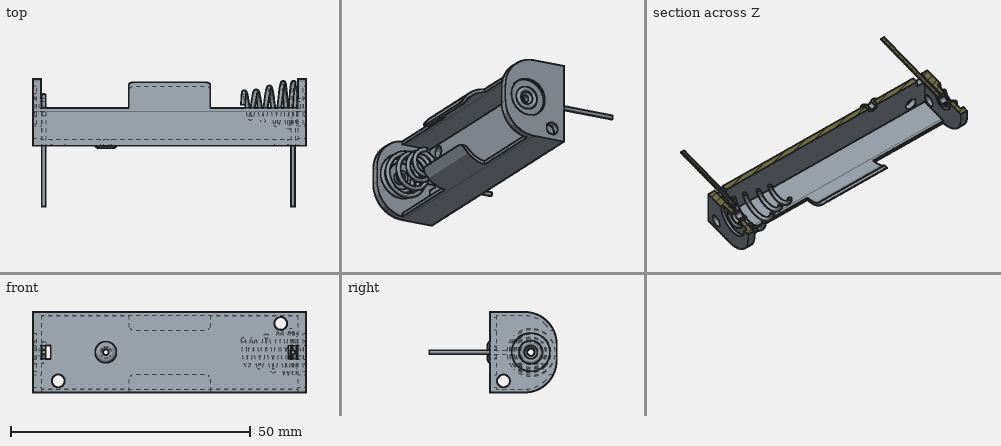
import cadquery as cq
import math

LENGTH = 57.0
WIDTH = 16.9
HEIGHT = 13.95
CORNER_RADIUS = 6.8
SIDE_WALL = 0.75
FLOOR = 1.35
END_WALL = 1.7
RIM_HEIGHT = 7.9
INNER_END = LENGTH / 2 - END_WALL

ARM_LENGTH = 17.1
ARM_OPENING = 9.25
ARM_CORNER = 1.15

SCREW_DIAMETER = 2.6
SCREW_X = 23.2
SCREW_Z = 6.0
END_SCREW_Y = 2.85

SLOT_LENGTH = 2.0
SLOT_WIDTH = 2.75

AXIS_Y = 8.55
RECESS_DIAMETER = 8.0
RECESS_DEPTH = 0.7
END_HEAD_RADIUS = 2.45
END_LIP_RADIUS = 1.35
END_BARREL_RADIUS = 1.35
END_BORE_RADIUS = 0.75
END_BARREL_STANDOUT = 1.0
END_BARREL_LENGTH = END_WALL - RECESS_DEPTH + END_BARREL_STANDOUT
BASE_RIVET_X = -13.3
BASE_HEAD_RADIUS = 2.2
BASE_BARREL_RADIUS = 1.15
BASE_BORE_RADIUS = 0.55
HEAD_HEIGHT = 0.5
LIP_HEIGHT = 0.1
FLARE_DEPTH = 0.55

WIRE_RADIUS = 0.45
LEAD_END_Y = -12.65
LOOP_X = -26.2
LOOP_RADIUS = END_BARREL_RADIUS + WIRE_RADIUS
SPRING_LEAD_X = 25.75
POINTS_PER_TURN = 12
SPRING_STATIONS = [
    (-1.5, 26.3, 2.75),
    (-1.0, 26.3, 3.35),
    (0.0, 25.9, 4.55),
    (1.0, 23.7, 4.55),
    (2.0, 20.8, 3.6),
    (3.0, 18.05, 2.8),
    (4.0, 15.55, 2.6),
    (4.25, 15.35, 2.6),
]


def d_prism(length, width, bottom, top, radius):
    """Prism along X whose section is a rectangle with its two +Y corners rounded."""
    block = cq.Workplane("XY").box(length, top - bottom, width)
    return block.edges("|X and >Y").fillet(radius).translate((0, (top + bottom) / 2, 0))


def cylinder_along(direction, start, radius, length):
    return cq.Workplane(cq.Solid.makeCylinder(radius, length, cq.Vector(*start), cq.Vector(*direction)))


def trimmed_above_rim():
    """Everything between the end walls above the rim, less the two arms."""
    rise = HEIGHT - RIM_HEIGHT
    middle_y = RIM_HEIGHT + rise / 2
    trim = cq.Workplane("XY").box(2 * INNER_END, rise, WIDTH).translate((0, middle_y, 0))
    arm_width = (WIDTH - ARM_OPENING) / 2
    arm = cq.Workplane("XY").box(ARM_LENGTH, rise, arm_width).edges("|Y and <Z").fillet(ARM_CORNER)
    arm = arm.translate((0, middle_y, ARM_OPENING / 2 + arm_width / 2))
    return trim.cut(arm).cut(arm.mirror("XY"))


def make_housing():
    body = d_prism(LENGTH, WIDTH, 0, HEIGHT, CORNER_RADIUS)
    cavity = d_prism(
        2 * INNER_END, WIDTH - 2 * SIDE_WALL, FLOOR, HEIGHT - SIDE_WALL, CORNER_RADIUS - SIDE_WALL
    )
    body = body.cut(cavity).cut(trimmed_above_rim())

    for side in (-1, 1):
        screw_start = (side * SCREW_X, 0, side * SCREW_Z)
        body = body.cut(cylinder_along((0, 1, 0), screw_start, SCREW_DIAMETER / 2, FLOOR))
        slot = cq.Workplane("XY").box(SLOT_LENGTH, 2 * FLOOR, SLOT_WIDTH)
        body = body.cut(slot.translate((side * (INNER_END - SLOT_LENGTH / 2), 0, 0)))
    body = body.cut(cylinder_along((0, 1, 0), (BASE_RIVET_X, 0, 0), BASE_BARREL_RADIUS, FLOOR))

    for side in (-1, 1):
        inward = (-side, 0, 0)
        outer_x = side * LENGTH / 2
        body = body.cut(
            cylinder_along(inward, (outer_x, END_SCREW_Y, -SCREW_Z), SCREW_DIAMETER / 2, END_WALL)
        )
        body = body.cut(cylinder_along(inward, (outer_x, AXIS_Y, 0), END_BARREL_RADIUS, END_WALL))
        body = body.cut(cylinder_along(inward, (outer_x, AXIS_Y, 0), RECESS_DIAMETER / 2, RECESS_DEPTH))
    return body


def make_rivet(head_radius, lip_radius, bore_radius, barrel_radius, barrel_length):
    """Hollow rivet about Y: domed head below Y = 0, barrel rising above it."""
    profile = cq.Workplane("XY").moveTo(barrel_radius, 0).lineTo(head_radius, 0)
    crown_radius = (head_radius + lip_radius) / 2
    profile = profile.threePointArc((crown_radius, -HEAD_HEIGHT), (lip_radius, -LIP_HEIGHT))
    profile = profile.lineTo(bore_radius, FLARE_DEPTH).lineTo(bore_radius, barrel_length)
    profile = profile.lineTo(barrel_radius, barrel_length).close()
    return profile.revolve(360, (0, 0, 0), (0, 1, 0)).clean()


def make_end_rivet(side):
    rivet = make_rivet(
        END_HEAD_RADIUS, END_LIP_RADIUS, END_BORE_RADIUS, END_BARREL_RADIUS, END_BARREL_LENGTH
    )
    rivet = rivet.rotate((0, 0, 0), (0, 0, 1), side * 90)
    return rivet.translate((side * (LENGTH / 2 - RECESS_DEPTH), AXIS_Y, 0))


def make_base_rivet():
    rivet = make_rivet(BASE_HEAD_RADIUS, BASE_BORE_RADIUS, BASE_BORE_RADIUS, BASE_BARREL_RADIUS, FLOOR)
    return rivet.translate((BASE_RIVET_X, 0, 0))


def make_lead(x, top_y):
    return cylinder_along((0, 1, 0), (x, LEAD_END_Y, 0), WIRE_RADIUS, top_y - LEAD_END_Y)


def make_loop_contact():
    """Wire loop around the -X rivet barrel, with its lead through the base."""
    loop = cq.Solid.makeTorus(LOOP_RADIUS, WIRE_RADIUS, cq.Vector(LOOP_X, AXIS_Y, 0), cq.Vector(1, 0, 0))
    return make_lead(LOOP_X, AXIS_Y - LOOP_RADIUS).union(cq.Workplane(loop))


def spring_point(turn):
    """Wire centre at a turn count, interpolated between the spring stations."""
    for (turn_a, x_a, radius_a), (turn_b, x_b, radius_b) in zip(SPRING_STATIONS, SPRING_STATIONS[1:]):
        if turn <= turn_b:
            break
    share = (turn - turn_a) / (turn_b - turn_a)
    radius = radius_a + share * (radius_b - radius_a)
    angle = 2 * math.pi * turn
    return cq.Vector(
        x_a + share * (x_b - x_a), AXIS_Y + radius * math.cos(angle), radius * math.sin(angle)
    )


def make_spring_contact():
    """Tapering coil spring at the +X end, spiralling inward on the wall, with its lead through the base."""
    first_turn = SPRING_STATIONS[0][0]
    steps = round((SPRING_STATIONS[-1][0] - first_turn) * POINTS_PER_TURN)
    points = [spring_point(first_turn + step / POINTS_PER_TURN) for step in range(steps + 1)]
    path = cq.Edge.makeSpline(points)
    start_plane = cq.Plane(origin=points[0], normal=path.tangentAt(0))
    coil = cq.Workplane(start_plane).circle(WIRE_RADIUS).sweep(cq.Workplane(cq.Wire.assembleEdges([path])))
    return make_lead(SPRING_LEAD_X, points[0].y).union(coil)


housing = make_housing()
end_rivets = [make_end_rivet(side) for side in (-1, 1)]
base_rivet = make_base_rivet()
loop_contact = make_loop_contact()
spring_contact = make_spring_contact()

result = cq.Compound.makeCompound(
    [
        housing.val(),
        *[rivet.val() for rivet in end_rivets],
        base_rivet.val(),
        loop_contact.val(),
        spring_contact.val(),
    ]
)